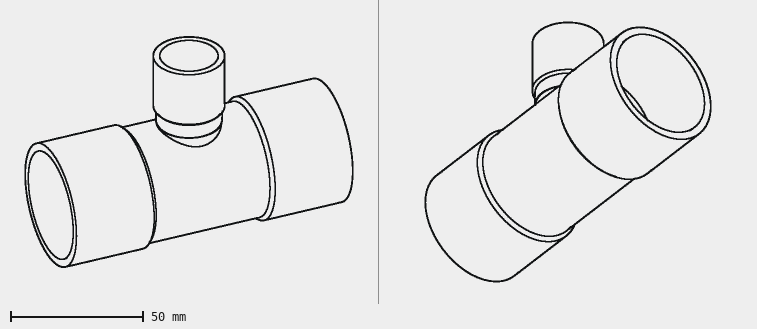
import cadquery as cq

run_length = 114.0
run_diameter = 45.0
hub_diameter = 48.0
hub_length = 32.0
hub_taper_length = 1.5
hub_bore_diameter = 42.0
hub_bore_depth = hub_length

overall_height = 76.0
branch_top = overall_height - hub_diameter / 2
branch_hub_diameter = 27.0
branch_hub_length = 22.1
branch_taper_length = 1.0
branch_neck_diameter = 25.0
branch_neck_length = 5.7
branch_root_diameter = 24.5
branch_bore_diameter = 22.0
branch_bore_depth = branch_hub_length


def make_run():
    """Revolve the stepped outline of the run about the Y axis."""
    half_length = run_length / 2
    hub_start = half_length - hub_length
    taper_start = hub_start - hub_taper_length
    run_radius = run_diameter / 2
    hub_radius = hub_diameter / 2
    return (
        cq.Workplane("XY")
        .polyline([
            (0, -half_length),
            (hub_radius, -half_length),
            (hub_radius, -hub_start),
            (run_radius, -taper_start),
            (run_radius, taper_start),
            (hub_radius, hub_start),
            (hub_radius, half_length),
            (0, half_length),
        ])
        .close()
        .revolve(360, (0, 0, 0), (0, 1, 0))
    )


def make_branch():
    """Revolve the stepped outline of the branch about the Z axis."""
    hub_start = branch_top - branch_hub_length
    taper_start = hub_start - branch_taper_length
    neck_start = taper_start - branch_neck_length
    hub_radius = branch_hub_diameter / 2
    neck_radius = branch_neck_diameter / 2
    root_radius = branch_root_diameter / 2
    return (
        cq.Workplane("XZ")
        .polyline([
            (0, 0),
            (root_radius, 0),
            (root_radius, neck_start),
            (neck_radius, neck_start),
            (neck_radius, taper_start),
            (hub_radius, hub_start),
            (hub_radius, branch_top),
            (0, branch_top),
        ])
        .close()
        .revolve(360, (0, 0, 0), (0, 1, 0))
    )


def cut_sockets(body):
    """Cut a flat-bottomed socket into each of the three open ends."""
    for face in ("<Y", ">Y"):
        body = (
            body.faces(face).workplane(centerOption="CenterOfMass")
            .circle(hub_bore_diameter / 2)
            .cutBlind(-hub_bore_depth)
        )
    return (
        body.faces(">Z").workplane(centerOption="CenterOfMass")
        .circle(branch_bore_diameter / 2)
        .cutBlind(-branch_bore_depth)
    )


result = cut_sockets(make_run().union(make_branch()))